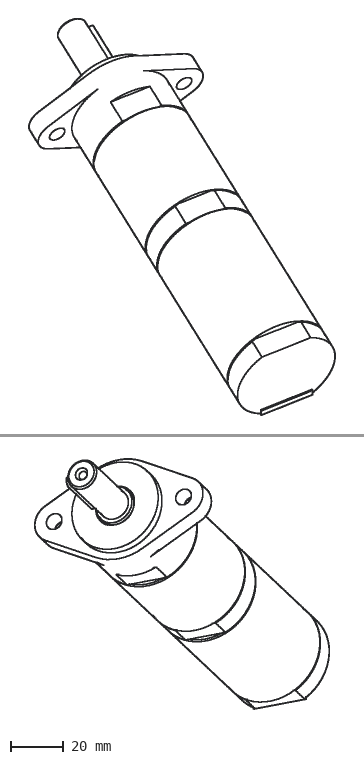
import cadquery as cq
import math


collar_start = 30.2
pilot_start = 31.1
flange_start = 34.6
flange_end = 42.5
front_flat_start = 50.7
front_body_start = 60.8
rear_flat_start = 105.2
rear_body_start = 115.0
cap_start = 174.8
cap_end = 183.6
total_length = 184.2

body_diameter = 41.5
pilot_diameter = 36.0
shaft_diameter = 12.0
collar_diameter = 15.0
seal_bore_diameter = 16.0

section_chamfer = 0.5
shaft_chamfer = 0.7
seal_bore_depth = 1.0

flange_width = 70.0
mount_hole_spacing = 53.8
mount_hole_diameter = 6.5

wrench_flat_size = 38.0
cap_flat_size = pilot_diameter

key_start = 2.8
key_end = 28.0
key_width = 4.0
key_top = 7.5
key_seat = 3.7

centre_hole_diameter = 3.3
centre_mouth_diameter = 5.0
centre_hole_depth = 9.2
countersink_angle = 60
drill_point_angle = 118

tab_width = 21.7
tab_height = 2.8

body_radius = body_diameter / 2


def cylinder(diameter, start, end):
    """Round bar along X between two stations."""
    return cq.Workplane("YZ", origin=(start, 0, 0)).circle(diameter / 2).extrude(end - start)


def chamfered_section(start, end):
    """Full-diameter section with a chamfered front edge."""
    return cylinder(body_diameter, start, end).faces("<X").chamfer(section_chamfer)


def cut_flats(section, start, end, across):
    """Trim a section to a given height, leaving flats on top and bottom."""
    middle = (start + end) / 2
    slab = cq.Workplane("XY").box(end - start, body_diameter, across)
    return section.intersect(slab.translate((middle, 0, 0)))


def make_flange():
    """Oval plate with a rounded lug at each hole, its sides tangent to the round body.

    The straight edges over the middle lie inside the body, which completes the oval.
    """
    hole_offset = mount_hole_spacing / 2
    lug_radius = flange_width / 2 - hole_offset
    tangent_sine = (body_radius - lug_radius) / hole_offset
    tangent_cosine = math.sqrt(1 - tangent_sine**2)
    tangent_y = body_radius * tangent_sine
    tangent_z = body_radius * tangent_cosine
    lug_y = hole_offset + lug_radius * tangent_sine
    lug_z = lug_radius * tangent_cosine
    return (
        cq.Workplane("YZ", origin=(flange_start, 0, 0))
        .moveTo(-tangent_y, tangent_z)
        .lineTo(tangent_y, tangent_z)
        .lineTo(lug_y, lug_z)
        .threePointArc((flange_width / 2, 0), (lug_y, -lug_z))
        .lineTo(tangent_y, -tangent_z)
        .lineTo(-tangent_y, -tangent_z)
        .lineTo(-lug_y, -lug_z)
        .threePointArc((-flange_width / 2, 0), (-lug_y, lug_z))
        .close()
        .pushPoints([(-hole_offset, 0), (hole_offset, 0)])
        .circle(mount_hole_diameter / 2)
        .extrude(flange_end - flange_start)
    )


def make_pilot():
    """Centring boss with a shallow seal bore around the shaft collar."""
    bore = cylinder(seal_bore_diameter, pilot_start, pilot_start + seal_bore_depth)
    return cylinder(pilot_diameter, pilot_start, flange_start).cut(bore)


def make_housing():
    """Round body, starting at the flange face, with two flatted bands and a flatted end cap."""
    front_band = cylinder(body_diameter, front_flat_start, front_body_start)
    rear_band = chamfered_section(rear_flat_start, rear_body_start)
    cap = chamfered_section(cap_start, cap_end)
    return (
        cylinder(body_diameter, flange_start, front_flat_start)
        .union(cut_flats(front_band, front_flat_start, front_body_start, wrench_flat_size))
        .union(chamfered_section(front_body_start, rear_flat_start))
        .union(cut_flats(rear_band, rear_flat_start, rear_body_start, wrench_flat_size))
        .union(chamfered_section(rear_body_start, cap_start))
        .union(cut_flats(cap, cap_start, cap_end, cap_flat_size))
    )


def make_centre_hole():
    """Blind hole with a countersunk mouth and a drill-point bottom, turned about X."""
    hole_radius = centre_hole_diameter / 2
    mouth_radius = centre_mouth_diameter / 2
    mouth_depth = (mouth_radius - hole_radius) / math.tan(math.radians(countersink_angle / 2))
    point_length = hole_radius / math.tan(math.radians(drill_point_angle / 2))
    profile = [
        (0, 0),
        (0, mouth_radius),
        (mouth_depth, hole_radius),
        (centre_hole_depth, hole_radius),
        (centre_hole_depth + point_length, 0),
    ]
    return cq.Workplane("XY").polyline(profile).close().revolve(360, (0, 0), (1, 0))


def make_shaft():
    """Output shaft with collar, chamfered tip and countersunk centre hole."""
    shaft = cylinder(shaft_diameter, 0, flange_start).faces("<X").chamfer(shaft_chamfer)
    collar = cylinder(collar_diameter, collar_start, flange_start)
    return shaft.union(collar).cut(make_centre_hole())


def make_key():
    """Round-ended key standing out of the +Y side of the shaft."""
    return (
        cq.Workplane("XZ", origin=((key_start + key_end) / 2, key_top, 0))
        .slot2D(key_end - key_start, key_width)
        .extrude(key_top - key_seat)
    )


def make_tab():
    """Small raised tab on the rear face of the cap, level with its lower flat."""
    bottom = -cap_flat_size / 2
    return (
        cq.Workplane("YZ", origin=(cap_end, 0, 0))
        .center(0, bottom + tab_height / 2)
        .rect(tab_width, tab_height)
        .extrude(total_length - cap_end)
    )


result = (
    make_flange()
    .union(make_pilot())
    .union(make_housing())
    .union(make_shaft())
    .union(make_key())
    .union(make_tab())
)